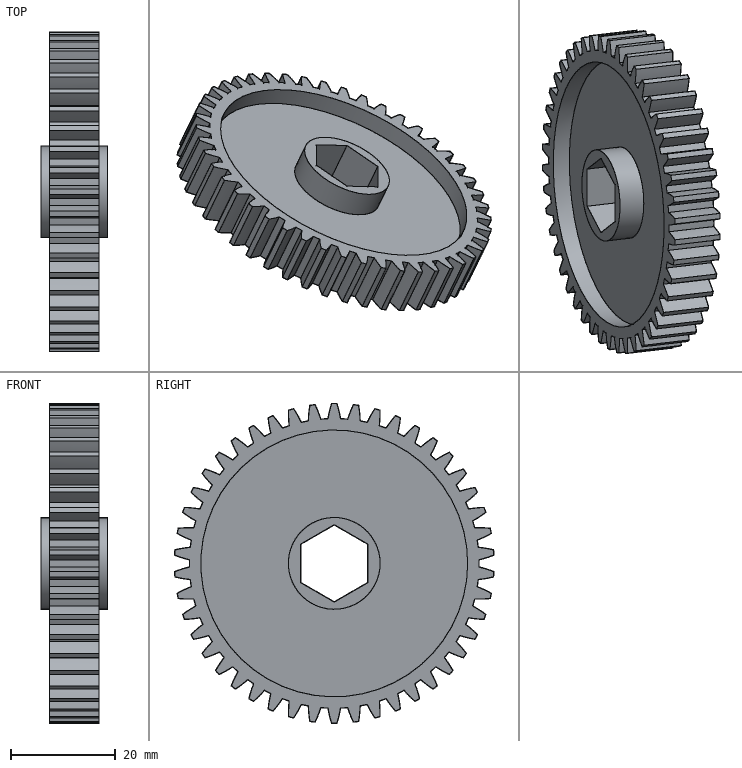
import cadquery as cq
import math

tooth_count = 46
tip_radius = 30.5
addendum_factor = 1.0
dedendum_factor = 1.25
module = tip_radius / (tooth_count / 2 + addendum_factor)
pitch_radius = module * tooth_count / 2
root_radius = pitch_radius - dedendum_factor * module

tip_thickness = 1.05
pitch_thickness = 1.75
root_thickness = 2.45

rim_width = 9.45
hub_width = 12.7
recess_depth = 3.35

recess_diameter = 50.85
hub_diameter = 17.5
hex_across_flats = 12.7


def polar(radius, angle):
    """Point in the gear plane; zero angle points along +Z."""
    return (radius * math.sin(angle), radius * math.cos(angle))


def centred_plane(width):
    """YZ workplane from which extruding by the width is symmetric about X = 0."""
    return cq.Workplane("YZ", origin=(-width / 2, 0, 0))


def disc(diameter, width):
    """Round disc on the X axis, centred on the gear's middle plane."""
    return centred_plane(width).circle(diameter / 2).extrude(width)


def toothed_blank():
    """Full-width gear blank with convex tooth flanks, one tooth pointing along +Z."""
    tooth_pitch = 2 * math.pi / tooth_count
    tip_half = tip_thickness / 2 / tip_radius
    pitch_half = pitch_thickness / 2 / pitch_radius
    root_half = root_thickness / 2 / root_radius

    outline = centred_plane(rim_width).moveTo(*polar(root_radius, -root_half))
    for tooth in range(tooth_count):
        centre = tooth * tooth_pitch
        gap_centre = centre + tooth_pitch / 2
        next_root = centre + tooth_pitch - root_half
        outline = (
            outline
            .threePointArc(polar(pitch_radius, centre - pitch_half), polar(tip_radius, centre - tip_half))
            .threePointArc(polar(tip_radius, centre), polar(tip_radius, centre + tip_half))
            .threePointArc(polar(pitch_radius, centre + pitch_half), polar(root_radius, centre + root_half))
            .threePointArc(polar(root_radius, gap_centre), polar(root_radius, next_root))
        )
    return outline.close().extrude(rim_width)


def face_recesses():
    """Round recesses in both faces, leaving a thin web at mid-width."""
    web_width = rim_width - 2 * recess_depth
    return disc(recess_diameter, rim_width).cut(disc(recess_diameter, web_width))


def hex_bore():
    """Hexagonal through bore with corners on the Z axis and flats facing Y."""
    across_corners = hex_across_flats / math.cos(math.pi / 6)
    return (
        centred_plane(hub_width)
        .transformed(rotate=(0, 0, 90))
        .polygon(6, across_corners)
        .extrude(hub_width)
    )


gear = toothed_blank().cut(face_recesses())
result = gear.union(disc(hub_diameter, hub_width)).cut(hex_bore())